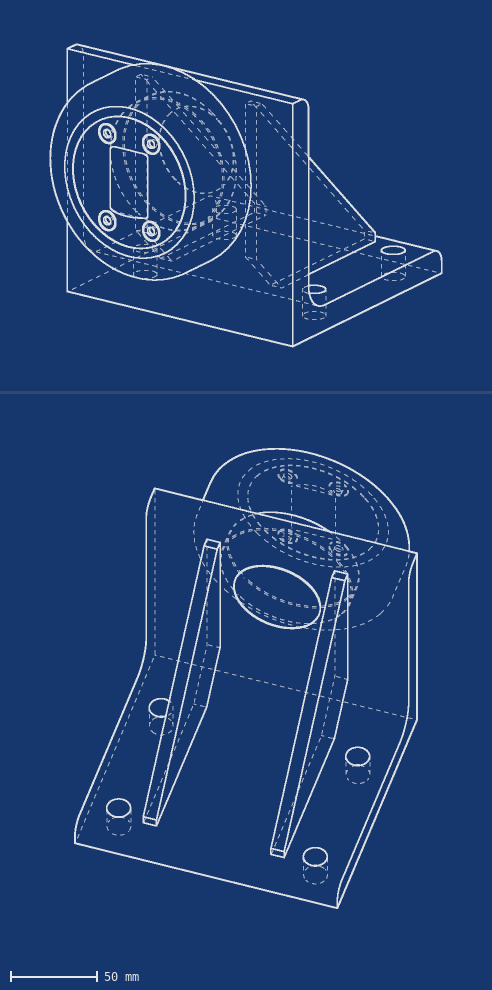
import cadquery as cq
import math

bracket_width = 160.0
leg_length = 150.2
leg_thickness = 16.0
toe_radius = 8.5
root_radius = 16.0

mount_hole_diameter = 13.8
mount_hole_x = 60.0
mount_hole_rows = (49.9, 129.8)

rib_thickness = 8.0
rib_offset = 39.0
rib_reach = 136.0
rib_edge = 5.4
rib_corner_cut = 25.1

wheel_height = 100.0
wheel_radius = 61.5
hub_diameter = 80.8
hub_chamfer = 0.6
spigot_diameter = 52.7
spigot_protrusion = 0.6
hub_length = 13.8
wheel_front = 50.9
wheel_face_radius = 46.0
cone_angle = 20
wheel_back_fillet = 2.9
wheel_front_fillet = 5.0

cover_diameter = 80.0
cover_height = 0.5
joint_width = 0.5
joint_depth = 0.5
cover_face = -wheel_front - cover_height
screw_circle_radius = 31.1
screw_angles = (60, 120, 240, 300)
screw_head_diameter = 12.0
screw_socket_diameter = 5.0
screw_socket_depth = 2.0

roller_radius = 22.0
roller_length = 40.0
roller_fillet = 2.3
total_length = 206
total_front = total_length - leg_length


def make_bracket():
    profile = (
        cq.Workplane("YZ")
        .polyline([
            (0, 0),
            (leg_length, 0),
            (leg_length, leg_thickness),
            (leg_thickness, leg_thickness),
            (leg_thickness, leg_length),
            (0, leg_length),
        ])
        .close()
        .extrude(bracket_width / 2, both=True)
    )
    toe_points = [(0, leg_length, leg_thickness), (0, leg_thickness, leg_length)]
    for point in toe_points:
        profile = profile.edges(cq.selectors.NearestToPointSelector(point)).fillet(toe_radius)
    root_point = (0, leg_thickness, leg_thickness)
    profile = profile.edges(cq.selectors.NearestToPointSelector(root_point)).fillet(root_radius)
    holes = (
        cq.Workplane("XY")
        .pushPoints([(x, y) for x in (-mount_hole_x, mount_hole_x) for y in mount_hole_rows])
        .circle(mount_hole_diameter / 2)
        .extrude(leg_thickness)
    )
    return profile.cut(holes)


def make_rib(x_center):
    inner = leg_thickness
    return (
        cq.Workplane("YZ", origin=(x_center, 0, 0))
        .polyline([
            (inner + rib_corner_cut, inner),
            (rib_reach, inner),
            (rib_reach, inner + rib_edge),
            (inner + rib_edge, rib_reach),
            (inner, rib_reach),
            (inner, inner + rib_corner_cut),
        ])
        .close()
        .extrude(rib_thickness / 2, both=True)
    )


def make_wheel():
    cone_depth = (wheel_radius - wheel_face_radius) * math.tan(math.radians(cone_angle))
    rim_front = -wheel_front + cone_depth
    rim = (
        cq.Workplane("XY")
        .polyline([
            (0, -hub_length),
            (wheel_radius, -hub_length),
            (wheel_radius, rim_front),
            (wheel_face_radius, -wheel_front),
            (0, -wheel_front),
        ])
        .close()
        .revolve(360, (0, 0, 0), (0, 1, 0))
    )
    rim = rim.edges(">Y").fillet(wheel_back_fillet)
    front_edge = cq.selectors.NearestToPointSelector((0, rim_front, 0))
    rim = rim.edges(front_edge).fillet(wheel_front_fillet)
    hub = cq.Workplane("XZ").circle(hub_diameter / 2).extrude(hub_length).edges().chamfer(hub_chamfer)
    cover = (
        cq.Workplane("XZ", origin=(0, -wheel_front, 0))
        .circle(cover_diameter / 2)
        .extrude(cover_height)
    )
    spigot = (
        cq.Workplane("XZ")
        .circle(spigot_diameter / 2)
        .extrude(-leg_thickness - spigot_protrusion)
    )
    return rim.union(hub).union(cover).union(spigot)


def make_screw_joint():
    """Shallow ring that separates a flush screw head from the cover."""
    return (
        cq.Workplane("XZ", origin=(0, cover_face, 0))
        .circle(screw_head_diameter / 2)
        .circle(screw_head_diameter / 2 - joint_width)
        .extrude(-joint_depth)
    )


def cut_cover_details(wheel):
    socket = (
        cq.Workplane("XZ", origin=(0, cover_face, 0))
        .circle(screw_socket_diameter / 2)
        .extrude(-screw_socket_depth)
    )
    screw_joint = make_screw_joint()
    for angle in screw_angles:
        x = screw_circle_radius * math.cos(math.radians(angle))
        z = screw_circle_radius * math.sin(math.radians(angle))
        wheel = wheel.cut(screw_joint.translate((x, 0, z)))
        wheel = wheel.cut(socket.translate((x, 0, z)))
    return wheel


def make_roller():
    return (
        cq.Workplane("XY", origin=(0, roller_radius - total_front, 0))
        .circle(roller_radius)
        .extrude(roller_length / 2, both=True)
        .edges()
        .fillet(roller_fillet)
    )


wheel = cut_cover_details(make_wheel()).union(make_roller())
result = make_bracket().union(wheel.translate((0, 0, wheel_height)))
for side in (-1, 1):
    result = result.union(make_rib(side * rib_offset))